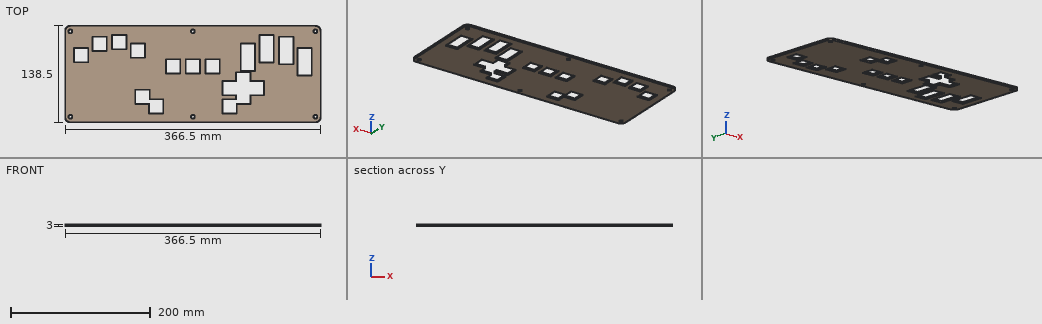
import cadquery as cq

length = 366.5
width = 138.5
thickness = 3.0
corner_radius = 7.7

hole_diameter = 5.0
hole_x = 175.5
hole_y = 61.2

window = 20.0
tall_window = 39.2
finger_centers = [(160.0, 27.0), (133.7, 43.2), (105.5, 45.8), (78.8, 33.7)]
middle_pitch = 28.2
middle_y = 11.0

inner_x = 52.8
inner_y = -46.0
outer_x = 72.0
outer_y = -32.5

cross_arm_y = -20.0
cross_length = 2 * (outer_x - inner_x) + window
cross_top = 2.5
cross_bottom = outer_y - window / 2


def cut_window(body, x, y, size_x=window, size_y=window):
    """Cut a rectangular opening centred at (x, y) through the plate."""
    cutter = cq.Workplane("XY").center(x, y).rect(size_x, size_y).extrude(thickness)
    return body.cut(cutter)


plate = (
    cq.Workplane("XY")
    .rect(length, width)
    .extrude(thickness)
    .edges("|Z")
    .fillet(corner_radius)
)

hole_centers = [(x, y) for x in (-hole_x, 0, hole_x) for y in (-hole_y, hole_y)]
holes = cq.Workplane("XY").pushPoints(hole_centers).circle(hole_diameter / 2).extrude(thickness)
plate = plate.cut(holes)

for x, y in finger_centers:
    plate = cut_window(plate, -x, y)
    tall_y = y + (window - tall_window) / 2
    plate = cut_window(plate, x, tall_y, size_y=tall_window)

for column in (-1, 0, 1):
    plate = cut_window(plate, column * middle_pitch, middle_y)

plate = cut_window(plate, -outer_x, outer_y)
plate = cut_window(plate, -inner_x, inner_y)

plate = cut_window(plate, outer_x, cross_arm_y, size_x=cross_length)
plate = cut_window(plate, outer_x, (cross_top + cross_bottom) / 2, size_y=cross_top - cross_bottom)
plate = cut_window(plate, inner_x, inner_y)

result = plate